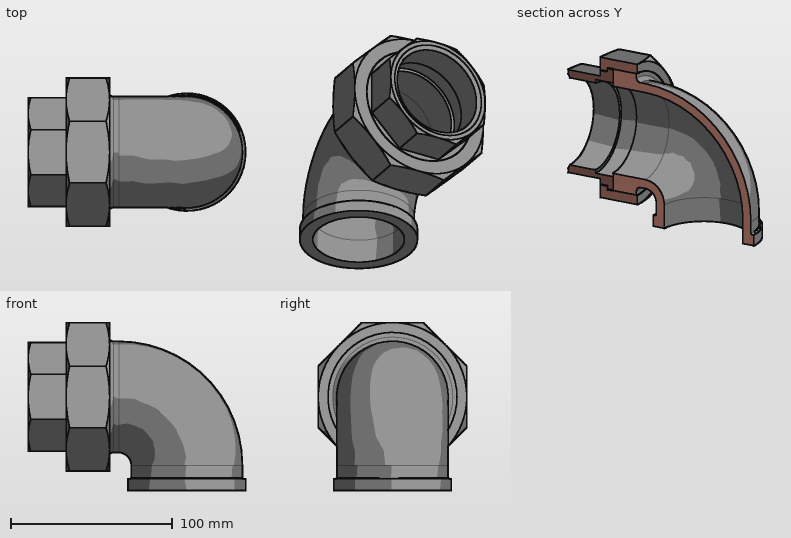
import cadquery as cq
import math

pipe_diameter = 69.0
bore_diameter = 56.7
bend_radius = 42.3
inlet_end_x = -98.2
outlet_end_z = -58.0

flange_diameter = 73.0
flange_height = 7.3
flange_fillet = 0.8

nut_width = 92.0
nut_front_x = -74.8
nut_rear_x = -47.8
nut_mouth_diameter = 75.0
nut_lip = 5.4
thread_diameter = 79.9
bevel_angle = 30

side_count = 8
half_side_angle = 180 / side_count
envelope_margin = 1.3

grip_width = 67.5
neck_diameter = 74.6
collar_diameter = 79.1
inlet_chamfer_diameter = 62.0
inlet_chamfer_length = 1.5
bore_step_x = -77.9
recess_diameter = 61.0

joint_x = -65.6
elbow_collar_end_x = -48.4
collar_fillet = 2.7


def x_cylinder(diameter, start_x, end_x):
    """Cylinder on the inlet axis."""
    return cq.Workplane("YZ", origin=(start_x, 0, 0)).circle(diameter / 2).extrude(end_x - start_x)


def bevel_envelope(width, start_x, end_x, bevel_rear):
    """Revolved envelope whose conical ends cut off the corners of an octagon."""
    face_radius = width / 2
    corner_radius = face_radius / math.cos(math.radians(half_side_angle))
    outer_radius = corner_radius + envelope_margin
    depth = (outer_radius - face_radius) * math.tan(math.radians(bevel_angle))
    profile = cq.Workplane("XY").moveTo(start_x, 0).lineTo(start_x, face_radius)
    profile = profile.lineTo(start_x + depth, outer_radius)
    if bevel_rear:
        profile = profile.lineTo(end_x - depth, outer_radius).lineTo(end_x, face_radius)
    else:
        profile = profile.lineTo(end_x, outer_radius)
    return profile.lineTo(end_x, 0).close().revolve(360, (0, 0, 0), (1, 0, 0))


def beveled_octagon(width, start_x, end_x, bevel_rear):
    """Octagonal bar along X, flats up, with beveled corners."""
    corner_diameter = width / math.cos(math.radians(half_side_angle))
    bar = (
        cq.Workplane("YZ", origin=(start_x, 0, 0))
        .transformed(rotate=(0, 0, half_side_angle))
        .polygon(side_count, corner_diameter)
        .extrude(end_x - start_x)
    )
    return bar.intersect(bevel_envelope(width, start_x, end_x, bevel_rear))


def bent_tube(diameter):
    """Round bar from the joint, through the bend, to the outlet end."""
    path = (
        cq.Workplane("XZ")
        .moveTo(joint_x, 0)
        .lineTo(-bend_radius, 0)
        .tangentArcPoint((0, -bend_radius), relative=False)
        .lineTo(0, outlet_end_z)
    )
    return cq.Workplane("YZ", origin=(joint_x, 0, 0)).circle(diameter / 2).sweep(path)


def make_elbow():
    pipe_radius = pipe_diameter / 2

    fillet_end_x = elbow_collar_end_x + collar_fillet
    fillet_top = pipe_radius + collar_fillet
    fillet_leg = collar_fillet * math.sqrt(0.5)
    collar = (
        cq.Workplane("XY")
        .moveTo(joint_x, 0)
        .lineTo(joint_x, thread_diameter / 2)
        .lineTo(elbow_collar_end_x, thread_diameter / 2)
        .lineTo(elbow_collar_end_x, fillet_top)
        .threePointArc(
            (fillet_end_x - fillet_leg, fillet_top - fillet_leg),
            (fillet_end_x, pipe_radius),
        )
        .lineTo(fillet_end_x, 0)
        .close()
        .revolve(360, (0, 0, 0), (1, 0, 0))
    )

    flange_top_z = outlet_end_z + flange_height
    fillet_center_x = pipe_radius + flange_fillet
    fillet_top_z = flange_top_z + flange_fillet
    fillet_leg = flange_fillet * math.sqrt(0.5)
    flange = (
        cq.Workplane("XZ")
        .moveTo(0, outlet_end_z)
        .lineTo(flange_diameter / 2, outlet_end_z)
        .lineTo(flange_diameter / 2, flange_top_z)
        .lineTo(fillet_center_x, flange_top_z)
        .threePointArc(
            (fillet_center_x - fillet_leg, fillet_top_z - fillet_leg),
            (pipe_radius, fillet_top_z),
        )
        .lineTo(0, fillet_top_z)
        .close()
        .revolve(360, (0, 0, 0), (0, 1, 0))
    )
    return bent_tube(pipe_diameter).union(collar).union(flange).cut(bent_tube(bore_diameter))


def make_nut():
    nut = beveled_octagon(nut_width, nut_front_x, nut_rear_x, bevel_rear=True)
    mouth = x_cylinder(nut_mouth_diameter, nut_front_x, nut_rear_x)
    thread = x_cylinder(thread_diameter, nut_front_x + nut_lip, nut_rear_x)
    return nut.cut(mouth).cut(thread)


def make_tailpiece():
    grip = beveled_octagon(grip_width, inlet_end_x, nut_front_x, bevel_rear=False)
    neck = x_cylinder(neck_diameter, nut_front_x, joint_x)
    collar = x_cylinder(collar_diameter, nut_front_x + nut_lip, joint_x)
    bore = x_cylinder(bore_diameter, inlet_end_x, joint_x)
    recess = x_cylinder(recess_diameter, bore_step_x, joint_x)
    chamfer = (
        cq.Workplane("XY")
        .moveTo(inlet_end_x, 0)
        .lineTo(inlet_end_x, inlet_chamfer_diameter / 2)
        .lineTo(inlet_end_x + inlet_chamfer_length, bore_diameter / 2)
        .lineTo(inlet_end_x + inlet_chamfer_length, 0)
        .close()
        .revolve(360, (0, 0, 0), (1, 0, 0))
    )
    return grip.union(neck).union(collar).cut(bore).cut(recess).cut(chamfer)


elbow = make_elbow()
nut = make_nut()
tailpiece = make_tailpiece()
result = cq.Compound.makeCompound([elbow.val(), nut.val(), tailpiece.val()])